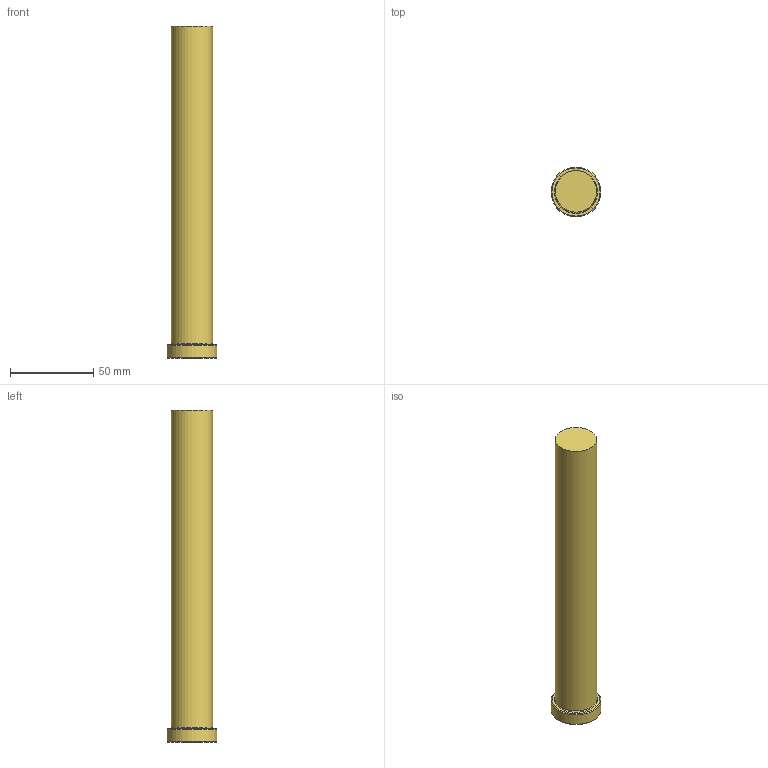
import cadquery as cq

total_length = 200.0
shank_diameter = 25.0
head_diameter = 30.0
head_height = 8.0
head_chamfer = 0.5
neck_fillet = 0.5


def make_head():
    """Disc at the bottom of the pin with both rims chamfered."""
    head = cq.Workplane("XY").circle(head_diameter / 2).extrude(head_height)
    return head.faces("<Z or >Z").edges().chamfer(head_chamfer)


def make_shank():
    """Plain cylinder from the base up to the full length."""
    return cq.Workplane("XY").circle(shank_diameter / 2).extrude(total_length)


def fillet_neck(pin):
    """Round the inside corner where the shank meets the head."""
    shoulder_face = pin.faces("|Z").faces(">Z[1]")
    inner_edge = shoulder_face.edges(cq.selectors.RadiusNthSelector(0))
    return inner_edge.fillet(neck_fillet)


result = fillet_neck(make_head().union(make_shank()).clean())